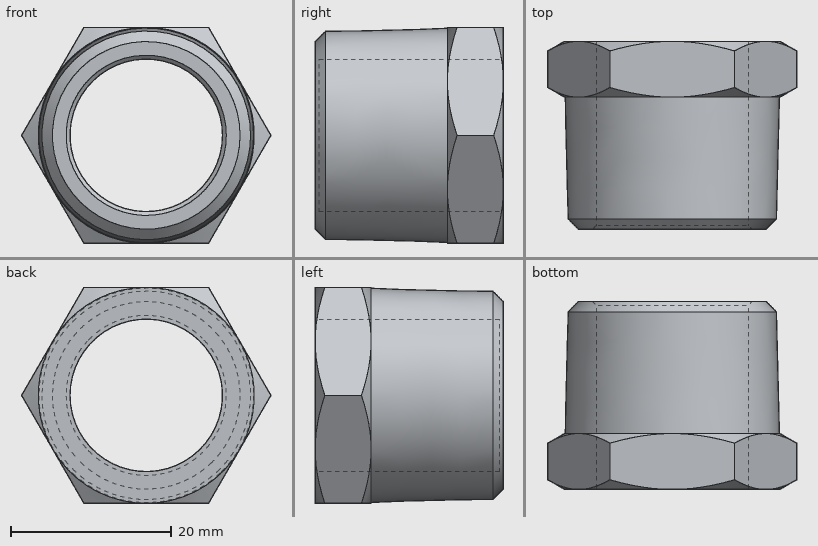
import cadquery as cq
import math

across_corners = 31.18
across_flats = across_corners * math.cos(math.radians(30))
total_length = 23.5
head_length = 6.98
head_chamfer_angle = 30.0

shank_root_radius = 13.4
shank_tip_radius = 13.03
shank_chamfer = 1.3

bore_radius = 9.5
bore_chamfer = 0.5


def revolve_about_y(points):
    """Turn a closed (radius, y) outline about the part axis."""
    return cq.Workplane("XY").polyline(points).close().revolve(360, (0, 0, 0), (0, 1, 0))


def make_head():
    """Hexagon with corners on +X and -X, and conical chamfers at both ends."""
    prism = cq.Workplane("XZ").polygon(6, across_corners).extrude(head_length)
    corner_radius = across_corners / 2
    flat_radius = across_flats / 2
    corner_drop = (corner_radius - flat_radius) * math.tan(math.radians(head_chamfer_angle))
    margin = 0.3
    outer_radius = corner_radius + margin
    outer_drop = corner_drop + margin * math.tan(math.radians(head_chamfer_angle))
    envelope = revolve_about_y([
        (0, 0),
        (flat_radius, 0),
        (outer_radius, -outer_drop),
        (outer_radius, outer_drop - head_length),
        (flat_radius, -head_length),
        (0, -head_length),
    ])
    return prism.intersect(envelope)


def make_shank():
    """Tapered shank with a 45 degree chamfer at its free end."""
    return revolve_about_y([
        (0, -head_length),
        (shank_root_radius, -head_length),
        (shank_tip_radius, shank_chamfer - total_length),
        (shank_tip_radius - shank_chamfer, -total_length),
        (0, -total_length),
    ])


def make_bore():
    """Through bore with a chamfered mouth at the shank end."""
    return revolve_about_y([
        (0, 0),
        (bore_radius, 0),
        (bore_radius, bore_chamfer - total_length),
        (bore_radius + bore_chamfer, -total_length),
        (0, -total_length),
    ])


result = make_head().union(make_shank()).cut(make_bore())